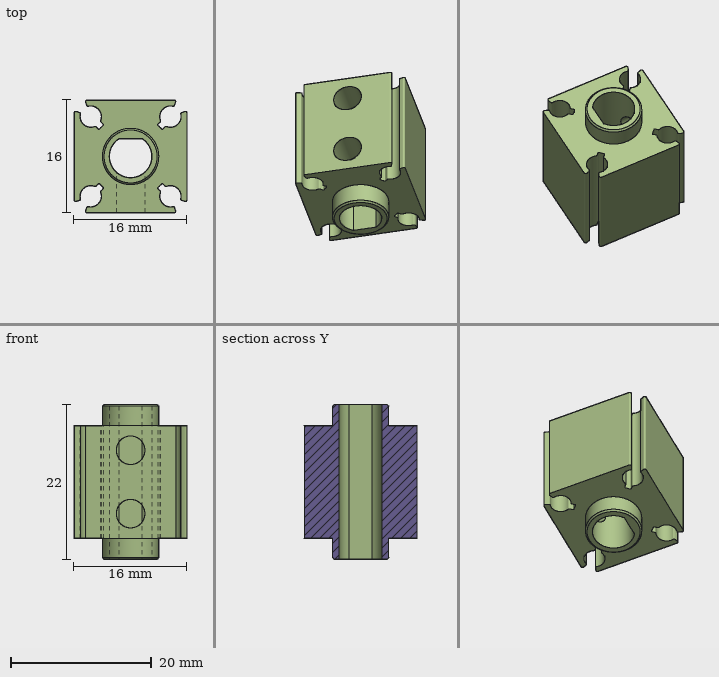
import cadquery as cq
import math

total_height = 22.0
body_side = 16.0
body_height = 16.0

boss_diameter = 8.0
boss_chamfer = 0.25
bore_diameter = 6.0
bore_flat_offset = 2.5

cross_hole_diameter = 4.05
cross_hole_spacing = 9.0

channel_diameter = 3.0
channel_inset = 2.35
mouth_inset = 1.5
mouth_taper_angle = 20.0
lip_outer_fillet = 0.25
lip_inner_fillet = 0.2
notch_width = 0.97
notch_reach = 2.11
notch_corner_fillet = 0.13
notch_entry_fillet = 0.2

half_side = body_side / 2
channel_center = half_side - channel_inset
channel_radius = channel_diameter / 2


def make_bosses():
    """One continuous cylinder whose ends stand out above and below the body."""
    cylinder = cq.Workplane("XY").circle(boss_diameter / 2).extrude(total_height / 2, both=True)
    return cylinder.faces("<Z or >Z").chamfer(boss_chamfer)


def make_bore():
    """Through bore with a flat on its +Y side."""
    round_bore = cq.Workplane("XY").circle(bore_diameter / 2).extrude(total_height / 2, both=True)
    bore_radius = bore_diameter / 2
    keep_depth = bore_radius + bore_flat_offset
    keep = cq.Workplane("XY").box(bore_diameter, keep_depth, total_height)
    return round_bore.intersect(keep.translate((0, bore_flat_offset - keep_depth / 2, 0)))


def make_cross_holes():
    """Two holes running from the -Y face to the bore axis."""
    return (
        cq.Workplane("XZ")
        .pushPoints([(0, -cross_hole_spacing / 2), (0, cross_hole_spacing / 2)])
        .circle(cross_hole_diameter / 2)
        .extrude(half_side)
    )


def make_corner_slot():
    """Slot cutter for the +X +Y corner, symmetric about the corner diagonal."""
    channel = (
        cq.Workplane("XY")
        .center(channel_center, channel_center)
        .circle(channel_radius)
        .extrude(body_height / 2, both=True)
    )

    mouth_outer = half_side - mouth_inset
    mouth_inner = mouth_outer - channel_inset * math.tan(math.radians(mouth_taper_angle))
    mouth = (
        cq.Workplane("XY")
        .polyline([
            (half_side, half_side),
            (mouth_outer, half_side),
            (mouth_inner, channel_center),
            (channel_center, channel_center),
            (channel_center, mouth_inner),
            (half_side, mouth_outer),
        ])
        .close()
        .extrude(body_height / 2, both=True)
    )

    notch = (
        cq.Workplane("XY")
        .box(notch_reach, notch_width, body_height)
        .edges("|Z and <X")
        .fillet(notch_corner_fillet)
        .translate((-notch_reach / 2, 0, 0))
        .rotate((0, 0, 0), (0, 0, 1), 45)
        .translate((channel_center, channel_center, 0))
    )
    return channel.union(mouth).union(notch)


def edges_near(points):
    """Selector for the vertical edges closest to the given points in plan."""
    selector = cq.selectors.NearestToPointSelector((*points[0], 0))
    for point in points[1:]:
        selector = selector + cq.selectors.NearestToPointSelector((*point, 0))
    return selector


def corner_points(x, y):
    """The point (x, y), its mirror in the diagonal, and copies at all four corners."""
    return [
        (sign_x * u, sign_y * v)
        for sign_x in (-1, 1)
        for sign_y in (-1, 1)
        for u, v in ((x, y), (y, x))
    ]


def make_body():
    """Square block with rounded lips and notch entries at its corner slots."""
    body = cq.Workplane("XY").box(body_side, body_side, body_height)
    slot = make_corner_slot()
    for quarter_turn in range(4):
        body = body.cut(slot.rotate((0, 0, 0), (0, 0, 1), 90 * quarter_turn))

    taper = math.radians(mouth_taper_angle)
    line_distance = (channel_inset - mouth_inset) * math.cos(taper) - channel_inset * math.sin(taper)
    along_lip = math.sqrt(channel_radius**2 - line_distance**2)
    lip_x = channel_center + line_distance * math.cos(taper) + along_lip * math.sin(taper)
    lip_y = channel_center - line_distance * math.sin(taper) + along_lip * math.cos(taper)

    entry_angle = math.radians(45) - math.asin(notch_width / channel_diameter)
    entry_x = channel_center - channel_radius * math.cos(entry_angle)
    entry_y = channel_center - channel_radius * math.sin(entry_angle)

    rounded_edges = [
        (half_side - mouth_inset, half_side, lip_outer_fillet),
        (lip_x, lip_y, lip_inner_fillet),
        (entry_x, entry_y, notch_entry_fillet),
    ]
    for x, y, radius in rounded_edges:
        body = body.edges("|Z").edges(edges_near(corner_points(x, y))).fillet(radius)
    return body


result = make_body().union(make_bosses()).cut(make_bore()).cut(make_cross_holes())